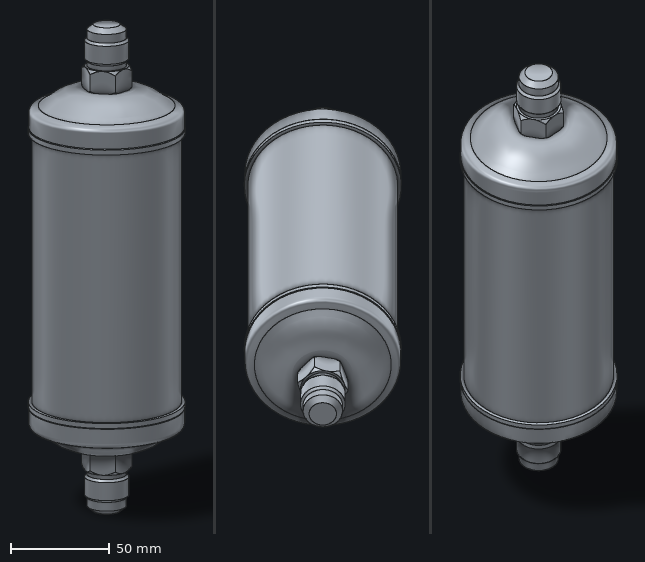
import cadquery as cq
import math

total_length = 258.0
half_length = total_length / 2

shell_radius = 38.2
rim_radius = 40.0
rim_end_height = half_length - 57.8
rim_height = 2.5
rim_lead = 0.5
rim_top_height = rim_end_height + rim_height

cap_radius = rim_radius - 0.3
crown_height = half_length - 33.8
crown_radius = 15.5
dome_arc_radius = 28.5
dome_start_slope = 6.0
dome_end_slope = 42.0
cone_slope = 35.0
cone_end_radius = 34.8
shoulder_slope = 15.0
corner_arc_radius = 2.8
skirt_slope = 90.0

nose_radius = 7.0
neck_radius = 10.0
nose_chamfer_height = 2.5
thread_radius = 11.4
thread_top_height = half_length - 7.2
thread_bottom_height = half_length - 19.4
thread_chamfer = thread_radius - neck_radius

hex_across_flats = 22.7
hex_corner_radius = hex_across_flats / math.sqrt(3)
hex_top_height = half_length - 22.0
hex_top_radius = hex_across_flats / 2
hex_top_chamfer_height = 2.0
hex_bottom_chamfer = 1.0


def slope_line(start, end_radius, slope):
    """End of a straight line that falls outward at one slope to a given radius."""
    drop = (end_radius - start[0]) * math.tan(math.radians(slope))
    return (end_radius, start[1] - drop)


def slope_arc(start, arc_radius, start_slope, end_slope):
    """Middle and end of a convex arc that steepens from one downward slope to another."""
    start_angle = math.radians(start_slope)

    def point_at(slope):
        angle = math.radians(slope)
        outward = arc_radius * (math.sin(angle) - math.sin(start_angle))
        downward = arc_radius * (math.cos(start_angle) - math.cos(angle))
        return (start[0] + outward, start[1] - downward)

    return point_at((start_slope + end_slope) / 2), point_at(end_slope)


def make_end_cap():
    """Domed end cap with its rim, as one revolved outline standing on the rim's lower face."""
    dome_start = (crown_radius, crown_height)
    dome_middle, dome_end = slope_arc(dome_start, dome_arc_radius, dome_start_slope, dome_end_slope)
    cone_end = slope_line(dome_end, cone_end_radius, cone_slope)

    corner_width = corner_arc_radius * (1 - math.sin(math.radians(shoulder_slope)))
    shoulder_end = slope_line(cone_end, cap_radius - corner_width, shoulder_slope)
    corner_middle, corner_end = slope_arc(shoulder_end, corner_arc_radius, shoulder_slope, skirt_slope)

    return (
        cq.Workplane("XZ")
        .moveTo(0, rim_end_height)
        .lineTo(0, crown_height)
        .lineTo(*dome_start)
        .threePointArc(dome_middle, dome_end)
        .lineTo(*cone_end)
        .lineTo(*shoulder_end)
        .threePointArc(corner_middle, corner_end)
        .lineTo(cap_radius, rim_top_height + rim_lead)
        .lineTo(rim_radius, rim_top_height)
        .lineTo(rim_radius, rim_end_height)
        .close()
        .revolve(360, (0, 0, 0), (0, 1, 0))
    )


def make_flare():
    """Turned fitting: chamfered nose, threaded band and the neck down to the crown."""
    outline = [
        (0, crown_height),
        (0, half_length),
        (nose_radius, half_length),
        (neck_radius, half_length - nose_chamfer_height),
        (neck_radius, thread_top_height),
        (thread_radius, thread_top_height - thread_chamfer),
        (thread_radius, thread_bottom_height + thread_chamfer),
        (neck_radius, thread_bottom_height),
        (neck_radius, crown_height),
    ]
    return cq.Workplane("XZ").polyline(outline).close().revolve(360, (0, 0, 0), (0, 1, 0))


def make_hexagon():
    """Hexagon on the crown, its corners turned down by a cone at both ends."""
    prism = (
        cq.Workplane("XY")
        .workplane(offset=crown_height)
        .polygon(6, 2 * hex_corner_radius)
        .extrude(hex_top_height - crown_height)
    )
    turned_outline = [
        (0, crown_height),
        (hex_corner_radius - hex_bottom_chamfer, crown_height),
        (hex_corner_radius, crown_height + hex_bottom_chamfer),
        (hex_corner_radius, hex_top_height - hex_top_chamfer_height),
        (hex_top_radius, hex_top_height),
        (0, hex_top_height),
    ]
    turned = cq.Workplane("XZ").polyline(turned_outline).close().revolve(360, (0, 0, 0), (0, 1, 0))
    return prism.intersect(turned)


upper_end = make_end_cap().union(make_flare()).union(make_hexagon())
lower_end = upper_end.mirror("XY")
shell = (
    cq.Workplane("XY")
    .workplane(offset=-rim_end_height)
    .circle(shell_radius)
    .extrude(2 * rim_end_height)
)
result = shell.union(upper_end).union(lower_end)